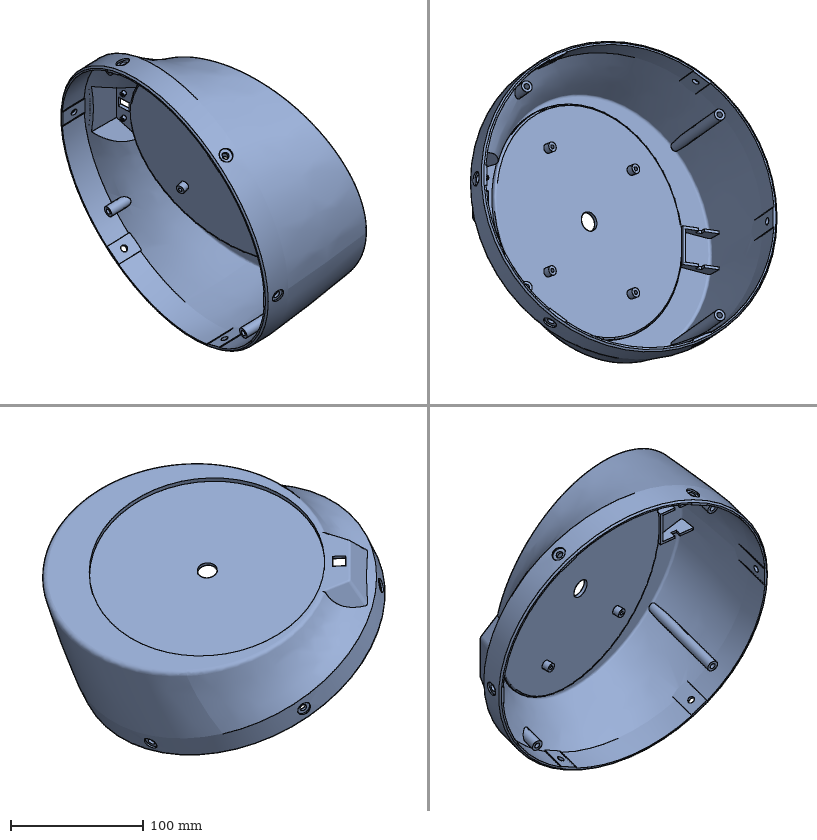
import cadquery as cq
import math


wall = 3.0
ring_radius = 123.0
ring_height = 21.5
rim_chamfer = 1.5
lid_tilt = 15.0
lid_height = 75.3
mid_x, mid_height, mid_radius = 7.1, 46.0, 114.5
lid_x, lid_radius = 10.3, 105.8
lid_edge_fillet = 4.0
inner_edge_fillet = lid_edge_fillet / 2

recess_x, recess_radius, recess_depth = -5.2, 89.3, 4.0
floor_depth = recess_depth + wall
floor_rim_fillet = 1.5
cable_hole_diameter = 15.0

bump_tip, bump_tip_half_width = 114.2, 20.2
bump_root, bump_root_half_width = 83.7, 34.5
bump_depth = 22.2
bump_draft = 30.0
bump_inset = 1.7
bump_corner_fillet = 4.0
bump_edge_fillet = 2.0
port_x, port_size = -102.1, 9.8
port_post_x, port_post_pitch = -101.5, 28.0
port_post_diameter, port_post_hole_diameter, port_post_height = 4.0, 1.7, 3.0

rim_screw_count = 6
rim_screw_height = 11.0
rim_screw_diameter = 5.5
rim_head_diameter, rim_head_depth = 10.8, 1.5
pad_width, pad_distance, pad_length = 16.2, 119.1, 98.5
tool_overrun = 12.3

pillar_offset = 80.2
pillar_diameter, pillar_hole_diameter = 8.9, 4.5
pillar_start, pillar_hole_depth = 12.3, 12.3
standoff_pitch_x, standoff_pitch_z = 81.7, 99.0
standoff_diameter, standoff_hole_diameter, standoff_height = 7.5, 3.0, 6.0
bracket_start, bracket_end, bracket_half_width, bracket_wall = 84.2, 115.2, 15.5, 2.2
bracket_bottom = 88.5
notch_x, notch_width, notch_depth = 99.7, 4.7, 5.0

beyond_lid = 147.7
tilt_cos = math.cos(math.radians(lid_tilt))
tilt_tan = math.tan(math.radians(lid_tilt))


def tilted_plane(x, height, angle):
    """Plane through (x, height) that rises toward +X; its normal points down to the rim."""
    turn = math.radians(angle)
    return cq.Plane(
        origin=(x, height, 0),
        xDir=(math.cos(turn), math.sin(turn), 0),
        normal=(math.sin(turn), -math.cos(turn), 0),
    )


def level_plane(height):
    return tilted_plane(0, height, 0)


def lid_plane(x, depth=0.0):
    """Plane of the lid with its origin at x, moved into the part by depth."""
    plane = tilted_plane(x, lid_height + x * tilt_tan, lid_tilt)
    plane.origin = plane.origin + plane.zDir * depth
    return plane


def four_corners(half_x, half_z):
    return [(sx * half_x, sz * half_z) for sx in (-1, 1) for sz in (-1, 1)]


def make_ring(radius):
    return cq.Workplane(level_plane(ring_height)).circle(radius).extrude(ring_height)


def make_dome(inset, edge_fillet):
    """Dome from the ring to the lid, with its sides and lid moved in by inset."""
    ring = level_plane(ring_height)
    mid = tilted_plane(mid_x, mid_height, lid_tilt / 2)
    lid = lid_plane(lid_x, inset)
    lid_size = lid_radius - inset
    dome = cq.Solid.makeLoft([
        cq.Wire.makeCircle(ring_radius - inset, ring.origin, ring.zDir),
        cq.Wire.makeCircle(mid_radius - inset, mid.origin, mid.zDir),
        cq.Wire.makeEllipse(lid_size / tilt_cos, lid_size, lid.origin, lid.zDir, lid.xDir),
    ])
    return cq.Workplane(obj=dome).edges(">Y").fillet(edge_fillet)


def make_bump(inset, depth):
    """Drafted bump under the lid, its outline moved in by inset and its top lowered by depth."""
    outline = [
        (-bump_tip, -bump_tip_half_width),
        (-bump_root, -bump_root_half_width),
        (-bump_root, bump_root_half_width),
        (-bump_tip, bump_tip_half_width),
    ]
    spread = bump_depth * math.tan(math.radians(bump_draft))
    top = cq.Workplane(lid_plane(0, depth)).polyline(outline).close()
    if inset:
        top = top.offset2D(-inset, "intersection")
    foot = cq.Workplane(lid_plane(0, depth + bump_depth)).polyline(outline).close()
    foot = foot.offset2D(spread - inset, "intersection")
    return cq.Workplane(obj=cq.Solid.makeLoft([top.wires().val(), foot.wires().val()], True))


def make_outer():
    ring = make_ring(ring_radius).edges("<Y").chamfer(rim_chamfer)
    bump = make_bump(0, 0).faces("<X").edges("not |Z").fillet(bump_corner_fillet)
    bump = bump.faces(">Y").edges("not >X").fillet(bump_edge_fillet)
    return ring.union(make_dome(0, lid_edge_fillet)).union(bump)


def make_cavity():
    ring = make_ring(ring_radius - wall)
    return ring.union(make_dome(wall, inner_edge_fillet)).union(make_bump(bump_inset, wall))


def make_recess_floor():
    floor = cq.Workplane(lid_plane(recess_x)).circle(recess_radius + wall).extrude(floor_depth)
    inner_face = cq.selectors.NearestToPointSelector(lid_plane(recess_x, floor_depth).origin.toTuple())
    return floor.faces(inner_face).edges().fillet(floor_rim_fillet)


def make_post(plane, center, diameter, hole_diameter, length, hole_depth):
    """Post along the plane normal, drilled from its free end."""
    post = cq.Workplane(plane).center(*center).circle(diameter / 2).extrude(length)
    hole = cq.Workplane(plane).workplane(offset=length - hole_depth).center(*center)
    return post.cut(hole.circle(hole_diameter / 2).extrude(hole_depth))


def make_pillar(center):
    return make_post(
        level_plane(beyond_lid), center, pillar_diameter, pillar_hole_diameter,
        beyond_lid - pillar_start, pillar_hole_depth,
    )


def make_standoff(center):
    return make_post(
        lid_plane(recess_x, recess_depth), center, standoff_diameter, standoff_hole_diameter,
        wall + standoff_height, standoff_height,
    )


def make_port_post(side):
    return make_post(
        lid_plane(port_post_x), (0, side * port_post_pitch / 2), port_post_diameter,
        port_post_hole_diameter, wall + port_post_height, port_post_height,
    )


def make_bracket():
    """Three walls hanging from the lid, open toward +X, with a notch in both side walls."""
    inner_start = bracket_start + bracket_wall
    inner_half_width = bracket_half_width - bracket_wall
    walls = (
        cq.Workplane(level_plane(beyond_lid))
        .moveTo(bracket_start, -bracket_half_width)
        .lineTo(bracket_end, -bracket_half_width)
        .lineTo(bracket_end, -inner_half_width)
        .lineTo(inner_start, -inner_half_width)
        .lineTo(inner_start, inner_half_width)
        .lineTo(bracket_end, inner_half_width)
        .lineTo(bracket_end, bracket_half_width)
        .lineTo(bracket_start, bracket_half_width)
        .close()
        .extrude(beyond_lid - bracket_bottom)
    )
    notch = (
        cq.Workplane(level_plane(bracket_bottom + notch_depth)).center(notch_x, 0)
        .rect(notch_width, 4 * bracket_half_width).extrude(notch_depth)
    )
    return walls.cut(notch)


def around_rim(tool):
    """One copy of the tool for every rim screw."""
    step = 360 / rim_screw_count
    return [tool.rotate((0, 0, 0), (0, 1, 0), i * step) for i in range(rim_screw_count)]


def make_pad():
    pad = cq.Workplane(level_plane(pad_length)).center(pad_distance + tool_overrun / 2, 0)
    return pad.rect(tool_overrun, pad_width).extrude(pad_length)


def make_rim_screw_cut():
    """Hole through the ring wall with a flat head seat, both running out past the ring."""
    end = ring_radius + tool_overrun

    def bore(diameter, start):
        plane = cq.Workplane("YZ", origin=(start, rim_screw_height, 0))
        return plane.circle(diameter / 2).extrude(end - start)

    hole = bore(rim_screw_diameter, pad_distance - tool_overrun)
    return hole.union(bore(rim_head_diameter, ring_radius - rim_head_depth))


def make_lid_cuts():
    recess = cq.Workplane(lid_plane(recess_x)).circle(recess_radius).extrude(recess_depth)
    cable_hole = cq.Workplane(lid_plane(recess_x)).circle(cable_hole_diameter / 2)
    port = cq.Workplane(lid_plane(port_x)).rect(port_size, port_size)
    return [recess, cable_hole.extrude(2 * floor_depth), port.extrude(2 * wall)]


inner_features = [make_recess_floor(), make_bracket()]
inner_features += [make_pillar(center) for center in four_corners(pillar_offset, pillar_offset)]
inner_features += [make_standoff(center) for center in four_corners(standoff_pitch_x / 2, standoff_pitch_z / 2)]
inner_features += [make_port_post(side) for side in (-1, 1)]
inner_features += around_rim(make_pad())

cavity = make_cavity()
for feature in inner_features:
    cavity = cavity.cut(feature)

result = make_outer().cut(cavity)
for tool in make_lid_cuts() + around_rim(make_rim_screw_cut()):
    result = result.cut(tool)